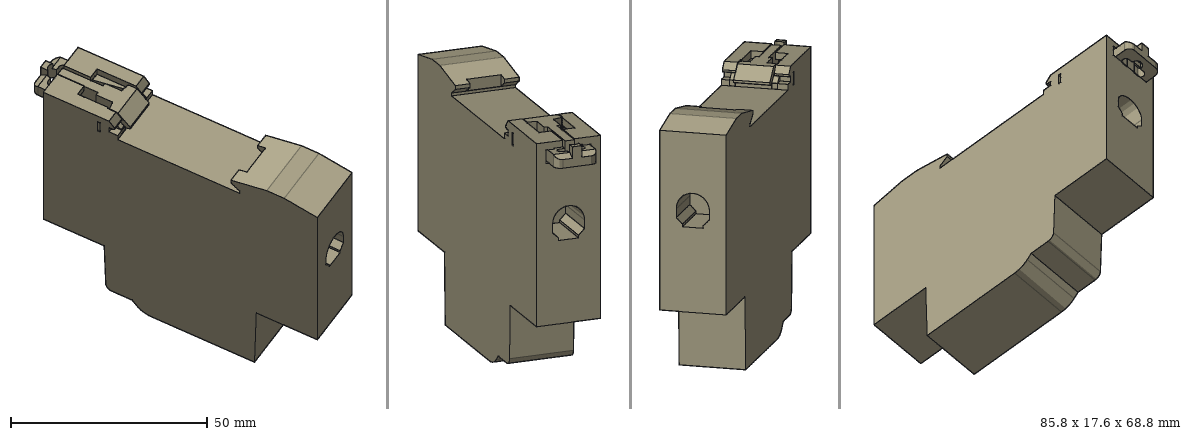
import cadquery as cq
import math


housing_length = 80.8
housing_width = 17.6
housing_height = 68.8
shoulder_z = 19.5
rail_floor_z = 63.15

foot_left_x = 17.9
foot_right_x = 62.8
foot_taper = 0.5
foot_step_z = 3.2
foot_step_end_x = 26.2
foot_corner_radius = 1.9
foot_curve_radius = 6.2
foot_curve_angle = 45

top_left_end_x = 19.4
left_lip_x = 21.0
left_lip_top_z = 67.0
left_lip_bottom_z = 66.5
notch_roof_x = 20.3
notch_roof_z = 66.2
notch_x = 19.4
notch_floor_z = 64.7
rail_left_x = 22.0

rail_right_x = 57.9
hook_x = 55.3
hook_top_z = 66.75
hook_bottom_z = 65.7
hook_root_z = 63.9
crown_left_x = 65.9
crown_right_x = 71.0
crown_end_z = 67.0
hook_notch_width = 9.4
hook_notch_end_x = 57.7

terminal_radius = 4.4
terminal_center_z = 46.6
terminal_side_end_z = 44.3
terminal_neck_half_width = 2.75
terminal_neck_z = terminal_side_end_z - (terminal_radius - terminal_neck_half_width)
terminal_floor_z = 41.95
terminal_depth = 12.9

latch_y = -0.35
latch_front_x = -5.0
plate_bottom_z = rail_floor_z
plate_top_z = 66.5
plate_half_width = 5.75
plate_root_x = 2.6
plate_corner_radius = 1.8
plate_chamfer_length = 1.8
plate_chamfer_height = 1.0
latch_top_z = 68.55
post_length = 2.15
stem_half_width = 1.3
mid_x = 11.9
mid_half_width = 2.2
mid_end_x = 16.8
nose_x = 17.3
nose_half_width = 4.8
nose_slope_x = 19.9
nose_tip_x = 23.5
nose_tip_top_z = 65.2
nose_tip_bottom_z = 64.5
nose_root_z = 64.2

eye_center_x = -1.9
eye_radius = 1.55
eye_slot_x = -0.9
eye_slot_length = 7.55
eye_slot_width = 2.1

arm_top_z = 66.75
arm_root_x = 7.9
arm_root_inner_y = 3.0
arm_end_x = 16.0
arm_end_inner_y = 4.4
barb_end_x = 16.7
barb_inner_y = 5.4
barb_tip_y = housing_width / 2 + latch_y
barb_tip_radius = barb_end_x - arm_end_x

block_x = 17.6
block_end_x = 21.7
block_half_width = 6.35
block_bevel_x = 20.2
block_bevel_top_z = 66.0
block_bevel_end_z = 64.7

groove_half_width = 6.2
groove_roof_z = arm_top_z
mouth_half_width = 3.9
mouth_roof_z = 67.0
stem_slot_half_width = stem_half_width - latch_y
window_x = 7.9
window_half_width = 4.9


def block(x0, x1, y0, y1, z0, z1):
    """Box between two opposite corners."""
    return cq.Workplane("XY").box(x1 - x0, y1 - y0, z1 - z0, centered=False).translate((x0, y0, z0))


def extrude_across(profile, half_width):
    """Extrude an XZ profile equally to both sides of Y = 0."""
    return profile.close().extrude(half_width, both=True)


def housing_shell():
    """Side outline of the housing, extruded over its full width."""
    angle = math.radians(foot_curve_angle)
    curve_start_z = foot_curve_radius * (1 - math.cos(angle))
    curve_start_x = foot_step_end_x + (foot_step_z - curve_start_z) / math.tan(angle)
    curve_end_x = curve_start_x + foot_curve_radius * math.sin(angle)
    curve_middle = (
        curve_end_x - foot_curve_radius * math.sin(angle / 2),
        foot_curve_radius * (1 - math.cos(angle / 2)),
    )
    foot_inner_x = foot_left_x + foot_taper
    profile = (
        cq.Workplane("XZ")
        .moveTo(0, shoulder_z)
        .lineTo(0, housing_height)
        .lineTo(top_left_end_x, housing_height)
        .lineTo(left_lip_x, left_lip_top_z)
        .lineTo(left_lip_x, left_lip_bottom_z)
        .lineTo(notch_roof_x, notch_roof_z)
        .lineTo(notch_x, notch_roof_z)
        .lineTo(notch_x, notch_floor_z)
        .lineTo(rail_left_x, notch_floor_z)
        .lineTo(rail_left_x, rail_floor_z)
        .lineTo(rail_right_x, rail_floor_z)
        .lineTo(rail_right_x, hook_root_z)
        .lineTo(hook_x, hook_bottom_z)
        .lineTo(hook_x, hook_top_z)
        .lineTo(crown_left_x, housing_height)
        .lineTo(crown_right_x, housing_height)
        .lineTo(housing_length, crown_end_z)
        .lineTo(housing_length, shoulder_z)
        .lineTo(foot_right_x, shoulder_z)
        .lineTo(foot_right_x - foot_taper, 0)
        .lineTo(curve_end_x, 0)
        .threePointArc(curve_middle, (curve_start_x, curve_start_z))
        .lineTo(foot_step_end_x, foot_step_z)
        .lineTo(foot_inner_x, foot_step_z)
        .lineTo(foot_left_x, shoulder_z)
    )
    shell = extrude_across(profile, housing_width / 2)
    corner = cq.selectors.NearestToPointSelector((foot_inner_x, 0, foot_step_z))
    return shell.edges("|Y").edges(corner).fillet(foot_corner_radius)


def terminal_opening(start_x):
    """Round-topped opening with a narrower floor, running in +X from start_x."""
    return (
        cq.Workplane("YZ", origin=(start_x, 0, 0))
        .moveTo(-terminal_radius, terminal_center_z)
        .threePointArc((0, terminal_center_z + terminal_radius), (terminal_radius, terminal_center_z))
        .lineTo(terminal_radius, terminal_side_end_z)
        .lineTo(terminal_neck_half_width, terminal_neck_z)
        .lineTo(terminal_neck_half_width, terminal_floor_z)
        .lineTo(-terminal_neck_half_width, terminal_floor_z)
        .lineTo(-terminal_neck_half_width, terminal_neck_z)
        .lineTo(-terminal_radius, terminal_side_end_z)
        .close()
        .extrude(terminal_depth)
    )


def hook_notch():
    """Notch in the middle of the fixed rail hook."""
    half = hook_notch_width / 2
    return block(hook_x, hook_notch_end_x, -half, half, rail_floor_z, housing_height)


def latch_cavity():
    """Groove, slots and window that hold the latch in the housing."""
    groove = block(0, barb_end_x, -groove_half_width, groove_half_width, plate_bottom_z, groove_roof_z)
    mouth = block(0, window_x, -mouth_half_width, mouth_half_width, plate_bottom_z, mouth_roof_z)
    stem_slot = block(
        0, window_x, -stem_slot_half_width, stem_slot_half_width, plate_bottom_z, housing_height
    )
    window = block(
        window_x, left_lip_x, -window_half_width, window_half_width, plate_bottom_z, housing_height
    )
    barb_slots = block(
        arm_end_x, barb_end_x, -housing_width / 2, housing_width / 2, plate_bottom_z, plate_top_z
    )
    rear_pocket = block(
        barb_end_x, block_end_x,
        latch_y - block_half_width, latch_y + block_half_width,
        plate_bottom_z, plate_top_z,
    )
    nose_passage = block(
        mid_end_x, rail_left_x,
        latch_y - nose_half_width, latch_y + nose_half_width,
        plate_bottom_z, housing_height,
    )
    cavity = groove
    for space in (mouth, stem_slot, window, barb_slots, rear_pocket, nose_passage):
        cavity = cavity.union(space)
    return cavity


def make_housing():
    body = housing_shell().cut(hook_notch()).cut(latch_cavity())
    for start_x in (0, housing_length - terminal_depth):
        body = body.cut(terminal_opening(start_x))
    return body


def latch_front_plate():
    """Wide front plate with rounded, chamfered front and a keyhole-like pull eye."""
    plate = block(
        latch_front_x, plate_root_x, -plate_half_width, plate_half_width, plate_bottom_z, plate_top_z
    )
    plate = plate.edges("|Z and <X").fillet(plate_corner_radius)
    front_chamfer = (
        cq.Workplane("XZ")
        .moveTo(latch_front_x, plate_top_z)
        .lineTo(latch_front_x + plate_chamfer_length, plate_top_z)
        .lineTo(latch_front_x, plate_top_z - plate_chamfer_height)
    )
    post = block(
        latch_front_x, latch_front_x + post_length,
        -stem_half_width, stem_half_width,
        plate_bottom_z, latch_top_z,
    )
    eye_base = cq.Workplane("XY", origin=(0, 0, plate_bottom_z))
    eye_height = latch_top_z - plate_bottom_z
    eye_circle = eye_base.center(eye_center_x, 0).circle(eye_radius).extrude(eye_height)
    eye_slot = (
        eye_base.center(eye_slot_x, 0)
        .slot2D(eye_slot_length, eye_slot_width, 90)
        .extrude(eye_height)
    )
    plate = plate.cut(extrude_across(front_chamfer, plate_half_width)).union(post)
    return plate.cut(eye_circle).cut(eye_slot)


def latch_bar():
    """Raised stem that widens in two steps into the beveled nose."""
    outline = [
        (0, stem_half_width),
        (mid_x, stem_half_width),
        (mid_x, mid_half_width),
        (mid_end_x, mid_half_width),
        (nose_x, nose_half_width),
        (nose_tip_x, nose_half_width),
    ]
    mirrored = [(x, -y) for x, y in reversed(outline)]
    plan = (
        cq.Workplane("XY", origin=(0, 0, plate_bottom_z))
        .polyline(outline + mirrored)
        .close()
        .extrude(latch_top_z - plate_bottom_z)
    )
    profile = (
        cq.Workplane("XZ")
        .moveTo(0, plate_bottom_z)
        .lineTo(0, latch_top_z)
        .lineTo(nose_slope_x, latch_top_z)
        .lineTo(nose_tip_x, nose_tip_top_z)
        .lineTo(nose_tip_x, nose_tip_bottom_z)
        .lineTo(rail_left_x, nose_root_z)
        .lineTo(rail_left_x, plate_bottom_z)
    )
    return plan.intersect(extrude_across(profile, nose_half_width))


def latch_arm():
    """Tapered spring arm on the +Y side, ending in a barb that enters the slot in the side wall."""
    base = cq.Workplane("XY", origin=(0, 0, plate_bottom_z))
    arm = (
        base.moveTo(plate_root_x, arm_root_inner_y)
        .lineTo(arm_root_x, arm_root_inner_y)
        .lineTo(arm_end_x, arm_end_inner_y)
        .lineTo(barb_end_x, barb_inner_y)
        .lineTo(barb_end_x, plate_half_width)
        .lineTo(plate_root_x, plate_half_width)
        .close()
        .extrude(arm_top_z - plate_bottom_z)
    )
    barb = (
        base.moveTo(arm_end_x, arm_end_inner_y)
        .lineTo(barb_end_x, barb_inner_y)
        .lineTo(barb_end_x, barb_tip_y - barb_tip_radius)
        .radiusArc((arm_end_x, barb_tip_y), -barb_tip_radius)
        .close()
        .extrude(plate_top_z - plate_bottom_z)
    )
    return arm.union(barb)


def latch_rear_block():
    """Wide block under the nose with a beveled rear top."""
    profile = (
        cq.Workplane("XZ")
        .moveTo(block_x, plate_bottom_z)
        .lineTo(block_x, plate_top_z)
        .lineTo(block_bevel_x - (plate_top_z - block_bevel_top_z), plate_top_z)
        .lineTo(block_bevel_x, block_bevel_top_z)
        .lineTo(block_end_x, block_bevel_end_z)
        .lineTo(block_end_x, plate_bottom_z)
    )
    return extrude_across(profile, block_half_width)


def make_latch():
    arm = latch_arm()
    latch = latch_front_plate().union(latch_bar()).union(latch_rear_block())
    for side_arm in (arm, arm.mirror("XZ")):
        latch = latch.union(side_arm)
    return latch.translate((0, latch_y, 0))


housing = make_housing()
latch = make_latch()

result = cq.Compound.makeCompound([housing.solids().val(), latch.solids().val()])